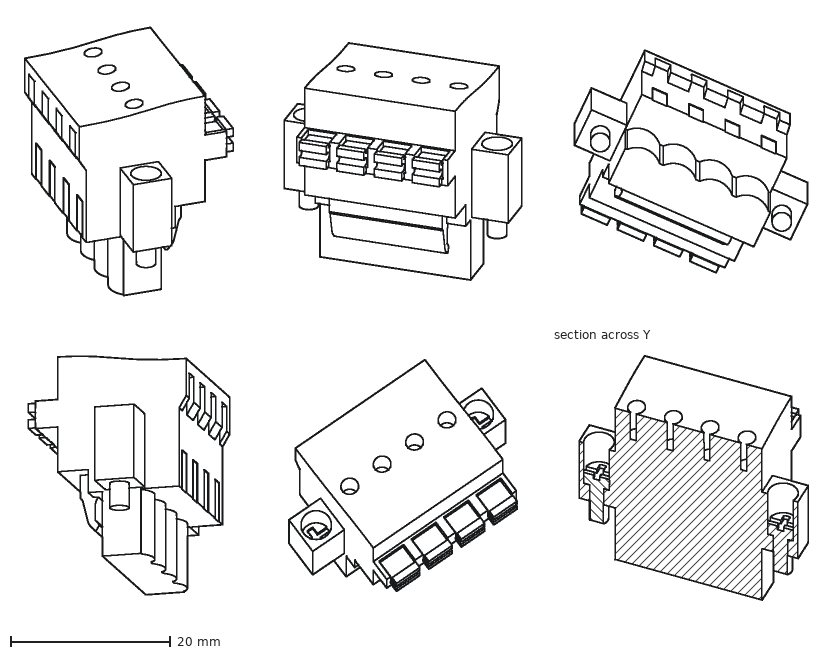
import cadquery as cq
import math


POLES = 4
PITCH = 5.0
BODY_WIDTH = POLES * PITCH
POLE_X = [(i - (POLES - 1) / 2) * PITCH for i in range(POLES)]

TOP_REAR_Z = 26.25
TOP_FRONT_Z = 24.85
FRONT_Y = -8.0
LOWER_FRONT_Y = -7.05
REAR_Y = 8.8
LOWER_REAR_Y = 4.8
TOP_INFLECTION_Y = 1.82
CHAMFER_TOP_Z = 20.05
CHAMFER_BOTTOM_Z = 18.5
STEP_Z = 11.35
BODY_BOTTOM_Z = 8.37

UPPER_RECESS_WIDTH = 2.12
UPPER_RECESS_TOP_Z = 23.3
LOWER_RECESS_WIDTH = 2.0
LOWER_RECESS_TOP_Z = 13.4
LOWER_RECESS_DEPTH = 0.1

ACCESS_DIAMETER = 2.2
ACCESS_Y = 0.25
ACCESS_FLOOR_Z = 20.85

PLUG_REAR_Y = 2.95
PLUG_FRONT_Y = -2.05
RIB_WIDTH = 4.47
RIB_FRONT_Y = -3.07

LATCH_WIDTH = BODY_WIDTH - PITCH
LATCH_REAR_Y = 6.53
LATCH_FRONT_Y = 4.6

HOOK_SHOULDER = (6.23, 8.0)
HOOK_BEND_START = (5.55, 5.25)
HOOK_BEND_MIDDLE = (5.35, 4.85)
HOOK_BEND_END = (5.1, 4.53)
HOOK_TIP_REAR = (4.8, 4.23)
HOOK_TIP_BOTTOM = (4.55, 4.08)
HOOK_TIP_FRONT = (4.32, 4.25)
HOOK_NOSE = (4.08, 4.75)
HOOK_NOSE_CURVE = (4.3, 5.1)
HOOK_CATCH = (LATCH_FRONT_Y, 5.4)
HOOK_ROOT_START = (LATCH_FRONT_Y, 7.4)
HOOK_ROOT_MIDDLE = (4.45, 7.93)
HOOK_ROOT_END = (4.17, BODY_BOTTOM_Z)

SHELF_REAR_Y = 11.68
SHELF_TOP_Z = 20.75
SHELF_BOTTOM_Z = 17.15
POCKET_WIDTH = 3.78
POCKET_FRONT_Y = 9.18

LEVER_WIDTH = 3.6
LEVER_Z = 19.05
LEVER_WEB_HEIGHT = 2.03
LEVER_HEAD_HEIGHT = 3.2
LEVER_HEAD_FRONT_Y = 11.85
LEVER_REAR_Y = 12.8
LEVER_SLOT_HEIGHT = 0.95
LEVER_WEB_BOTTOM_Z = LEVER_Z - LEVER_WEB_HEIGHT / 2

OVERALL_WIDTH = 29.8
FLANGE_DEPTH = 5.13
FLANGE_TOP_Z = 18.1
FLANGE_BOTTOM_Z = 8.58
SCREW_X = (POLES + 1) / 2 * PITCH

HEAD_DIAMETER = 3.8
HEAD_HEIGHT = 1.8
HEAD_SEAT_Z = 11.35
SHANK_DIAMETER = 2.45
SHANK_BOTTOM_Z = 5.42
DRIVE_DEPTH = 0.6
DRIVE_SLOT_WIDTH = 0.63
DRIVE_CROSS_WIDTH = 0.83
DRIVE_CROSS_LENGTH = 2.75


def box(x_middle, x_size, y_min, y_max, z_min, z_max):
    """Box centred on x_middle and spanning the given Y and Z ranges."""
    return (
        cq.Workplane("XY", origin=(x_middle, 0, z_min))
        .moveTo(-x_size / 2, y_min)
        .lineTo(x_size / 2, y_min)
        .lineTo(x_size / 2, y_max)
        .lineTo(-x_size / 2, y_max)
        .close()
        .extrude(z_max - z_min)
    )


def cylinder(x, y, diameter, z_min, z_max):
    """Vertical cylinder."""
    return cq.Workplane("XY", origin=(x, y, z_min)).circle(diameter / 2).extrude(z_max - z_min)


def make_main_body():
    """Upper body under an S-shaped top made of two tangent arcs, both level at their outer ends."""
    chord_angle = math.atan2(TOP_REAR_Z - TOP_FRONT_Z, REAR_Y - FRONT_Y)
    rear_run = REAR_Y - TOP_INFLECTION_Y
    inflection_z = TOP_REAR_Z - rear_run * math.tan(chord_angle)
    rear_chord = rear_run / math.cos(chord_angle)
    rear_sagitta = rear_chord / 2 * math.tan(chord_angle / 2)
    return (
        cq.Workplane("YZ")
        .moveTo(LOWER_REAR_Y, BODY_BOTTOM_Z)
        .lineTo(LOWER_REAR_Y, STEP_Z)
        .lineTo(REAR_Y, STEP_Z)
        .lineTo(REAR_Y, TOP_REAR_Z)
        .sagittaArc((TOP_INFLECTION_Y, inflection_z), -rear_sagitta)
        .tangentArcPoint((FRONT_Y, TOP_FRONT_Z), relative=False)
        .lineTo(FRONT_Y, CHAMFER_TOP_Z)
        .lineTo(LOWER_FRONT_Y, CHAMFER_BOTTOM_Z)
        .lineTo(LOWER_FRONT_Y, BODY_BOTTOM_Z)
        .close()
        .extrude(BODY_WIDTH / 2, both=True)
    )


def make_plug():
    """Block below the body whose front face bulges into one arc per pole."""
    outline = (
        cq.Workplane("XY")
        .moveTo(-BODY_WIDTH / 2, PLUG_REAR_Y)
        .lineTo(-BODY_WIDTH / 2, PLUG_FRONT_Y)
    )
    for x in POLE_X:
        outline = outline.lineTo(x - RIB_WIDTH / 2, PLUG_FRONT_Y).threePointArc(
            (x, RIB_FRONT_Y), (x + RIB_WIDTH / 2, PLUG_FRONT_Y)
        )
    return (
        outline.lineTo(BODY_WIDTH / 2, PLUG_FRONT_Y)
        .lineTo(BODY_WIDTH / 2, PLUG_REAR_Y)
        .close()
        .extrude(BODY_BOTTOM_Z)
    )


def make_latch():
    """Hook that hangs behind the plug: a tapering arm with a rounded nose."""
    return (
        cq.Workplane("YZ")
        .moveTo(LOWER_REAR_Y, STEP_Z)
        .lineTo(LATCH_REAR_Y, STEP_Z)
        .lineTo(LATCH_REAR_Y, BODY_BOTTOM_Z)
        .lineTo(*HOOK_SHOULDER)
        .lineTo(*HOOK_BEND_START)
        .threePointArc(HOOK_BEND_MIDDLE, HOOK_BEND_END)
        .lineTo(*HOOK_TIP_REAR)
        .threePointArc(HOOK_TIP_BOTTOM, HOOK_TIP_FRONT)
        .lineTo(*HOOK_NOSE)
        .threePointArc(HOOK_NOSE_CURVE, HOOK_CATCH)
        .lineTo(*HOOK_ROOT_START)
        .threePointArc(HOOK_ROOT_MIDDLE, HOOK_ROOT_END)
        .lineTo(LOWER_REAR_Y, BODY_BOTTOM_Z)
        .close()
        .extrude(LATCH_WIDTH / 2, both=True)
    )


def make_shelf():
    """Rear shelf with one pocket per pole, open to the top and the rear."""
    shelf = box(0, BODY_WIDTH, REAR_Y, SHELF_REAR_Y, SHELF_BOTTOM_Z, SHELF_TOP_Z)
    for x in POLE_X:
        shelf = shelf.cut(
            box(x, POCKET_WIDTH, POCKET_FRONT_Y, SHELF_REAR_Y, LEVER_WEB_BOTTOM_Z, SHELF_TOP_Z)
        )
    return shelf


def make_flange(x_side):
    """End flange with a counterbored hole for its screw; x_side is -1 or 1."""
    flange_width = (OVERALL_WIDTH - BODY_WIDTH) / 2
    flange_x = x_side * (BODY_WIDTH + flange_width) / 2
    screw_x = x_side * SCREW_X
    half_depth = FLANGE_DEPTH / 2
    flange = box(flange_x, flange_width, -half_depth, half_depth, FLANGE_BOTTOM_Z, FLANGE_TOP_Z)
    return flange.cut(cylinder(screw_x, 0, HEAD_DIAMETER, HEAD_SEAT_Z, FLANGE_TOP_Z)).cut(
        cylinder(screw_x, 0, SHANK_DIAMETER, FLANGE_BOTTOM_Z, HEAD_SEAT_Z)
    )


def make_pole_cuts(x):
    """Front recesses and top access hole of the pole at x."""
    upper = box(x, UPPER_RECESS_WIDTH, FRONT_Y, LOWER_FRONT_Y, CHAMFER_BOTTOM_Z, UPPER_RECESS_TOP_Z)
    lower = box(
        x,
        LOWER_RECESS_WIDTH,
        LOWER_FRONT_Y,
        LOWER_FRONT_Y + LOWER_RECESS_DEPTH,
        BODY_BOTTOM_Z,
        LOWER_RECESS_TOP_Z,
    )
    access = cylinder(x, ACCESS_Y, ACCESS_DIAMETER, ACCESS_FLOOR_Z, TOP_REAR_Z)
    return [upper, lower, access]


def make_housing():
    """One-piece housing: body, plug, latch, shelf and flanges."""
    body = make_main_body().union(make_plug()).union(make_latch()).union(make_shelf())
    for x_side in (-1, 1):
        body = body.union(make_flange(x_side))
    for x in POLE_X:
        for cutter in make_pole_cuts(x):
            body = body.cut(cutter)
    return body


def make_lever(x):
    """Lever resting in a shelf pocket, with a round-bottomed slot across its rear head."""
    half_head = LEVER_HEAD_HEIGHT / 2
    slot_radius = LEVER_SLOT_HEIGHT / 2
    web = box(
        x,
        LEVER_WIDTH,
        POCKET_FRONT_Y,
        LEVER_HEAD_FRONT_Y,
        LEVER_WEB_BOTTOM_Z,
        LEVER_WEB_BOTTOM_Z + LEVER_WEB_HEIGHT,
    )
    head = box(
        x,
        LEVER_WIDTH,
        LEVER_HEAD_FRONT_Y,
        LEVER_REAR_Y,
        LEVER_Z - half_head,
        LEVER_Z + half_head,
    )
    slot = (
        cq.Workplane("YZ", origin=(x, 0, LEVER_Z))
        .moveTo(LEVER_REAR_Y, slot_radius)
        .lineTo(SHELF_REAR_Y + slot_radius, slot_radius)
        .threePointArc((SHELF_REAR_Y, 0), (SHELF_REAR_Y + slot_radius, -slot_radius))
        .lineTo(LEVER_REAR_Y, -slot_radius)
        .close()
        .extrude(LEVER_WIDTH / 2, both=True)
    )
    return web.union(head).cut(slot)


def make_screw(x):
    """Flange screw with a cross drive: a slot right across the head and a shorter slot over it."""
    head_top_z = HEAD_SEAT_Z + HEAD_HEIGHT
    drive_z = head_top_z - DRIVE_DEPTH
    half_slot = DRIVE_SLOT_WIDTH / 2
    half_cross = DRIVE_CROSS_LENGTH / 2
    slot = box(x, HEAD_DIAMETER, -half_slot, half_slot, drive_z, head_top_z)
    cross = box(x, DRIVE_CROSS_WIDTH, -half_cross, half_cross, drive_z, head_top_z).intersect(
        cylinder(x, 0, DRIVE_CROSS_LENGTH, drive_z, head_top_z)
    )
    return (
        cylinder(x, 0, HEAD_DIAMETER, HEAD_SEAT_Z, head_top_z)
        .union(cylinder(x, 0, SHANK_DIAMETER, SHANK_BOTTOM_Z, HEAD_SEAT_Z))
        .cut(slot)
        .cut(cross)
    )


housing = make_housing()
levers = [make_lever(x) for x in POLE_X]
screws = [make_screw(x_side * SCREW_X) for x_side in (-1, 1)]

result = cq.Compound.makeCompound([body.val() for body in [housing, *levers, *screws]])